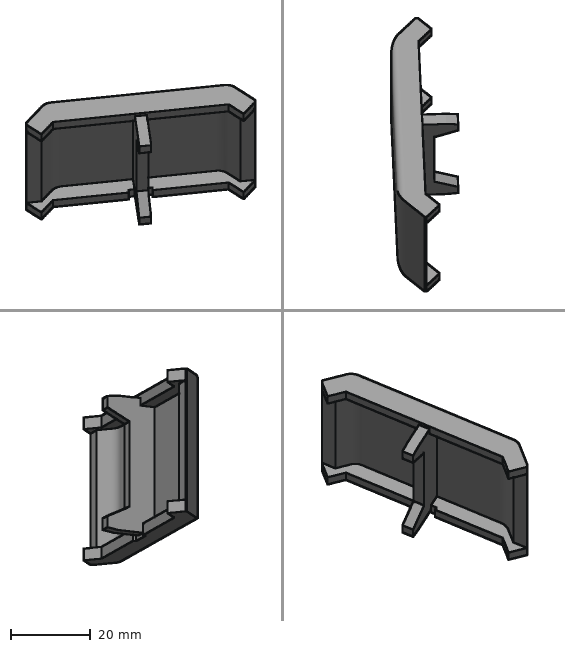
import cadquery as cq
import math

SIDE = 41.22
HEIGHT = 37.0

SHELL = 3.05
DEPTH = 7.0
LEG = 6.72
LIP_WIDTH = 5.15
BEND_OUTER = 6.83
BEND_INNER = BEND_OUTER - SHELL
TIP_CHAMFER = 0.35

RIB_THICKNESS = 3.0
RIB_REACH = 9.0
RIB_HALF_LENGTH = 17.4
PRONG_LENGTH = 6.0
PRONG_TIP_OUTER = 17.0
PRONG_TIP_INNER = 14.0
PRONG_ROOT_INNER = 11.0
TAPER_LENGTH = 3.0
RIB_SINK = SHELL / 2

RECESS_WIDTH = 6.0
RECESS_DEPTH = 0.8

COS45 = math.sqrt(0.5)
BEND_RISE = 1 - COS45
EDGE_RADIUS = BEND_OUTER * BEND_RISE
OUTER_OFFSET = LEG + BEND_OUTER * (COS45 - BEND_RISE)
FACE_OFFSET = OUTER_OFFSET - DEPTH / COS45
FACE_CENTER = ((SIDE - FACE_OFFSET) / 2, (SIDE + FACE_OFFSET) / 2, HEIGHT / 2)
POCKET_DEPTH = DEPTH - SHELL
SLOPE_PLANE = cq.Plane(origin=FACE_CENTER, xDir=(1, -1, 0), normal=(-1, -1, 0))


def mirrored(point):
    """Reflect a plan point to the other leg of the cover."""
    x, y = point
    return (SIDE - y, SIDE - x)


def bend_points(radius):
    """Start, middle and end of the first leg's 45 degree bend, concentric for every radius."""
    angles = (0, math.pi / 8, math.pi / 4)
    return [(BEND_OUTER - radius * math.cos(a), LEG + radius * math.sin(a)) for a in angles]


def bent_wall(sketch, radius):
    """Continue a plan outline along one leg, the slope and the other leg's bend."""
    start, middle, end = bend_points(radius)
    return (
        sketch.lineTo(*start)
        .threePointArc(middle, end)
        .lineTo(*mirrored(end))
        .threePointArc(mirrored(middle), mirrored(start))
    )


def make_body():
    """Full-height bent bar with chamfered leg tips."""
    tip_end = (TIP_CHAMFER, 0)
    tip_side = (0, TIP_CHAMFER)
    lip_corner = (LIP_WIDTH, 0)
    face_corner = (LIP_WIDTH, LIP_WIDTH + FACE_OFFSET)
    sketch = cq.Workplane("XY").moveTo(*tip_end).lineTo(*tip_side)
    sketch = bent_wall(sketch, BEND_OUTER)
    for point in (tip_side, tip_end, lip_corner, face_corner):
        sketch = sketch.lineTo(*mirrored(point))
    return sketch.lineTo(*face_corner).lineTo(*lip_corner).close().extrude(HEIGHT)


def make_edge_envelope():
    """Bar along the slope whose two outer long edges are rounded."""
    outer = -DEPTH
    open_side = SIDE
    half = HEIGHT / 2
    shoulder = half - EDGE_RADIUS
    arc_u = outer + EDGE_RADIUS * BEND_RISE
    arc_v = half - EDGE_RADIUS * BEND_RISE
    sketch = (
        cq.Workplane(SLOPE_PLANE)
        .moveTo(outer, -shoulder)
        .lineTo(outer, shoulder)
        .threePointArc((arc_u, arc_v), (outer + EDGE_RADIUS, half))
        .lineTo(open_side, half)
        .lineTo(open_side, -half)
        .lineTo(outer + EDGE_RADIUS, -half)
        .threePointArc((arc_u, -arc_v), (outer, -shoulder))
        .close()
    )
    return sketch.extrude(SIDE, both=True)


def make_pocket():
    """Space between the side walls, ending in bevels at the leg tips, in line with the open face."""
    bevel_start = (-FACE_OFFSET, 0)
    bevel_end = (SHELL, SHELL + FACE_OFFSET)
    sketch = cq.Workplane("XY").workplane(offset=SHELL).moveTo(*bevel_start).lineTo(*bevel_end)
    sketch = bent_wall(sketch, BEND_INNER)
    sketch = sketch.lineTo(*mirrored(bevel_end)).lineTo(*mirrored(bevel_start))
    return sketch.lineTo(SIDE, 0).close().extrude(HEIGHT - 2 * SHELL)


def make_recess():
    """Block that sinks a step into the open face of the lower side wall."""
    plane = cq.Plane(origin=FACE_CENTER, xDir=(1, -1, 0), normal=(0, 0, 1))
    return (
        cq.Workplane(plane)
        .workplane(offset=-HEIGHT / 2)
        .rect(2 * RECESS_DEPTH, RECESS_WIDTH)
        .extrude(SHELL)
    )


def make_rib():
    """Plate square to the slope, notched in the middle to leave two tapered prongs."""
    upper_half = [
        (-POCKET_DEPTH - RIB_SINK, RIB_HALF_LENGTH),
        (RIB_REACH - TAPER_LENGTH, RIB_HALF_LENGTH),
        (RIB_REACH, PRONG_TIP_OUTER),
        (RIB_REACH, PRONG_TIP_INNER),
        (RIB_REACH - PRONG_LENGTH, PRONG_ROOT_INNER),
    ]
    lower_half = [(u, -v) for u, v in reversed(upper_half)]
    sketch = cq.Workplane(SLOPE_PLANE).polyline(upper_half + lower_half).close()
    return sketch.extrude(RIB_THICKNESS / 2, both=True)


body = make_body().intersect(make_edge_envelope())
result = body.cut(make_pocket()).cut(make_recess()).union(make_rib())